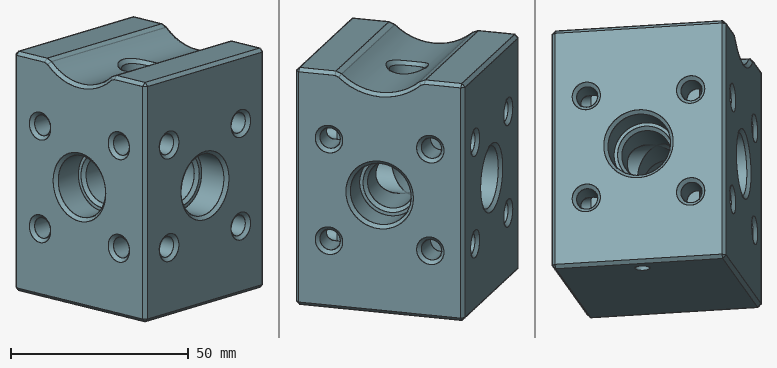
import cadquery as cq

height = 70
width = height * 5 / 7
edge_chamfer = height / 70
overlap = 0.7

cradle_radius = 17.5
cradle_depth = height / 14

port_height = height / 2
port_dia = 14
counterbore_dia = 18.0
counterbore_depth = 9.45

bolt_dia = 6.0
bolt_countersink_dia = 8.1
bolt_depth = 9.4
bolt_pitch = width * 3 / 5

cradle_hole_dia = 10.1
cradle_hole_depth = 15.0

drain_dia = 4.2
drain_inset = 5.4
drain_chamfer = 0.3


def drill(dia, depth, countersink_dia):
    """Flat-bottomed cutter with a 45 degree countersink, entering at Z = 0 and pointing down."""
    countersink_depth = (countersink_dia - dia) / 2
    return (
        cq.Workplane("XZ")
        .moveTo(0, overlap)
        .lineTo(countersink_dia / 2, overlap)
        .lineTo(countersink_dia / 2, 0)
        .lineTo(dia / 2, -countersink_depth)
        .lineTo(dia / 2, -depth)
        .lineTo(0, -depth)
        .close()
        .revolve(360, (0, 0, 0), (0, 1, 0))
    )


def make_block():
    """Block with the cradle cut from its top and every outer edge chamfered."""
    block = cq.Workplane("XY").box(width, width, height, centered=(True, True, False))
    cradle = (
        cq.Workplane("XZ")
        .center(0, height - cradle_depth + cradle_radius)
        .circle(cradle_radius)
        .extrude(width / 2 + overlap, both=True)
    )
    return block.cut(cradle).edges().chamfer(edge_chamfer)


def make_face_cutter():
    """Port and bolt holes of the -Y side face."""
    counterbore = drill(counterbore_dia, counterbore_depth, counterbore_dia + 2 * edge_chamfer)
    port = drill(port_dia, width / 2 - counterbore_depth, port_dia + 2 * edge_chamfer)
    cutter = counterbore.union(port.translate((0, 0, -counterbore_depth)))
    bolt = drill(bolt_dia, bolt_depth, bolt_countersink_dia)
    for side in (-1, 1):
        for level in (-1, 1):
            cutter = cutter.union(bolt.translate((side * bolt_pitch / 2, level * bolt_pitch / 2, 0)))
    return cutter.rotate((0, 0, 0), (1, 0, 0), 90).translate((0, -width / 2, port_height))


def drill_chamfered(body, x, bottom, top, dia, mouth_level, chamfer):
    """Drill a vertical hole on Y = 0 and chamfer its curved rim, whose lowest points are at mouth_level."""
    hole = cq.Workplane("XY", origin=(x, 0, bottom)).circle(dia / 2).extrude(top - bottom)
    reach = dia / 2 + overlap
    rim = cq.selectors.BoxSelector(
        (x - reach, -reach, mouth_level - overlap),
        (x + reach, reach, mouth_level + overlap),
    )
    return body.cut(hole).edges(rim).chamfer(chamfer)


result = make_block()

face_cutter = make_face_cutter()
for turn in range(4):
    result = result.cut(face_cutter.rotate((0, 0, 0), (0, 0, 1), 90 * turn))

cradle_floor = height - cradle_depth
result = drill_chamfered(
    result,
    x=0,
    bottom=cradle_floor - cradle_hole_depth,
    top=height,
    dia=cradle_hole_dia,
    mouth_level=cradle_floor,
    chamfer=edge_chamfer,
)

result = drill_chamfered(
    result,
    x=drain_inset - width / 2,
    bottom=0,
    top=port_height,
    dia=drain_dia,
    mouth_level=port_height - counterbore_dia / 2,
    chamfer=drain_chamfer,
)